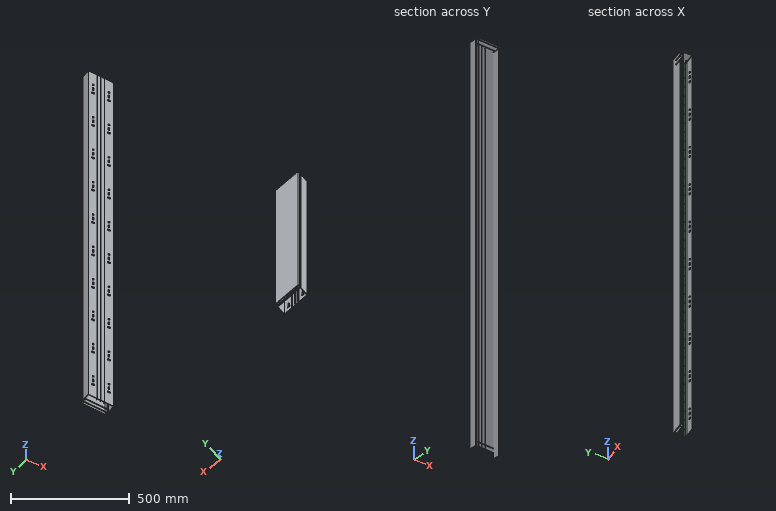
import cadquery as cq

LENGTH = 2000.0
WIDTH = 130.0
DEPTH = 60.0
WALL = 2.0

COVER_LIP = 15.0
SHOULDER_DEPTH = 2.8
FLANGE_WIDTH = 12.0
FLANGE_GAP = 8.0

RIB_COUNT = 3
RIB_PITCH = 18.0
RIB_HEIGHT = 5.0

GROUP_COUNT = 10
GROUP_PITCH = 200.0
COLUMN_SPACING = 80.0
ROW_SPAN = 50.0
HOLE_DIAMETER = 7.0
SLOT_WIDTH = 5.0
LONG_SLOT_LENGTH = 15.0
CROSS_SLOT_LENGTH = 13.0

CLIP_LENGTH = 22.0
CLIP_THICKNESS = 5.0

half_width = WIDTH / 2
floor_y = -DEPTH / 2
cover_y = DEPTH / 2
bottom_z = -LENGTH / 2
top_z = LENGTH / 2
lip_end_y = cover_y - COVER_LIP
shoulder_y = lip_end_y - SHOULDER_DEPTH
flange_outer_y = cover_y - WALL - FLANGE_GAP
flange_inner_y = flange_outer_y - WALL
neck_outer_x = half_width - WALL
neck_inner_x = neck_outer_x - WALL


def mirrored_extrusion(right_side):
    """Extrude over the full length a profile that is symmetric about the YZ plane."""
    left_side = [(-x, y) for x, y in reversed(right_side)]
    profile = cq.Workplane("XY", origin=(0, 0, bottom_z)).polyline(right_side + left_side)
    return profile.close().extrude(LENGTH)


def channel():
    """Floor and side walls; each wall steps inwards and ends in an inward flange."""
    flange_end_x = neck_outer_x - FLANGE_WIDTH
    return mirrored_extrusion([
        (half_width, floor_y),
        (half_width, shoulder_y),
        (neck_outer_x, lip_end_y),
        (neck_outer_x, flange_outer_y),
        (flange_end_x, flange_outer_y),
        (flange_end_x, flange_inner_y),
        (neck_inner_x, flange_inner_y),
        (neck_inner_x, lip_end_y),
        (half_width - WALL, shoulder_y),
        (half_width - WALL, floor_y + WALL),
    ])


def floor_ribs():
    """Thin full-length ribs standing on the floor, spread evenly about its middle."""
    first_x = -RIB_PITCH * (RIB_COUNT - 1) / 2
    rib_y = floor_y + WALL + RIB_HEIGHT / 2
    centres = [(first_x + i * RIB_PITCH, rib_y) for i in range(RIB_COUNT)]
    sketch = cq.Workplane("XY", origin=(0, 0, bottom_z)).pushPoints(centres)
    return sketch.rect(WALL, RIB_HEIGHT).extrude(LENGTH)


def hole_row(z_offset):
    """Floor workplane with a point in both columns of every group, offset from its middle."""
    points = []
    for i in range(GROUP_COUNT):
        group_z = GROUP_PITCH * (i - (GROUP_COUNT - 1) / 2)
        for x in (-COLUMN_SPACING / 2, COLUMN_SPACING / 2):
            points.append((x, group_z + z_offset))
    return cq.Workplane("XZ", origin=(0, floor_y, 0)).pushPoints(points)


def make_base():
    """Base: the channel with its ribs, cut by the mounting holes."""
    round_holes = hole_row(ROW_SPAN / 2).circle(HOLE_DIAMETER / 2).extrude(-WALL)
    long_slots = hole_row(0).slot2D(LONG_SLOT_LENGTH, SLOT_WIDTH, 90).extrude(-WALL)
    cross_slots = hole_row(-ROW_SPAN / 2).slot2D(CROSS_SLOT_LENGTH, SLOT_WIDTH).extrude(-WALL)
    body = channel().union(floor_ribs())
    return body.cut(round_holes).cut(long_slots).cut(cross_slots)


def make_cover():
    """Cover: a flat plate with a lip down each side, closing the channel on the +Y side."""
    return mirrored_extrusion([
        (half_width, cover_y),
        (half_width, lip_end_y),
        (half_width - WALL, lip_end_y),
        (half_width - WALL, cover_y - WALL),
    ])


def make_clip(start_z):
    """Clip: a flat strip across the channel, lying against the inner sides of the flanges."""
    strip = cq.Workplane("XY", origin=(0, flange_inner_y - CLIP_THICKNESS / 2, start_z))
    return strip.rect(2 * neck_inner_x, CLIP_THICKNESS).extrude(CLIP_LENGTH)


base = make_base()
cover = make_cover()
clips = [make_clip(start_z).val() for start_z in (bottom_z, top_z - CLIP_LENGTH)]

result = cq.Compound.makeCompound([base.val(), cover.val(), *clips])